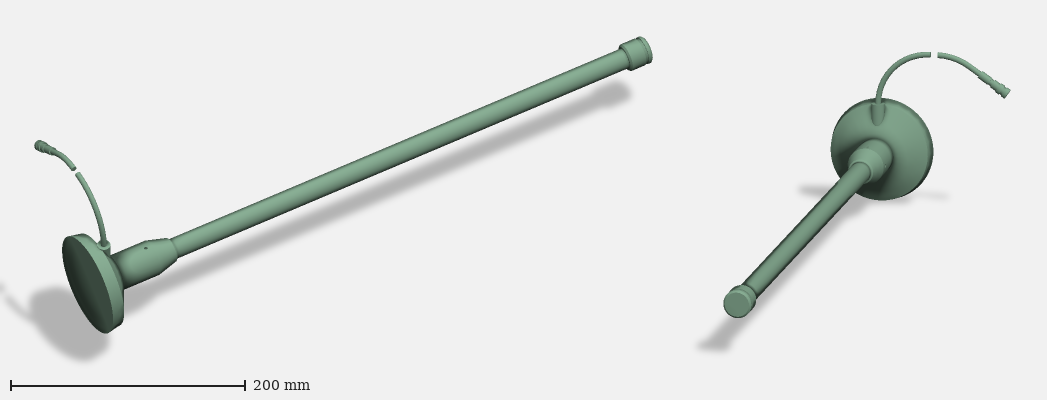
import cadquery as cq
import math

TOTAL_LENGTH = 545.0

BASE_DIAMETER = 89.5
DISC_TOP_RADIUS = 42.5
DISC_HEIGHT = 12.0
CONE_TOP = 26.5
SLEEVE_RADIUS = 16.0
SLEEVE_SHOULDER = 62.5
SLEEVE_TIP_RADIUS = 11.0
SLEEVE_TOP = 83.0
SLEEVE_CHAMFER = 1.5

MAST_DIAMETER = 18.0
MAST_RADIUS = MAST_DIAMETER / 2
SCREW_DIAMETER = 3.0
SCREW_Y = 56.5
SCREW_RECESS = 1.5
SCREW_ANGLES = (90, 180)

CAP_DIAMETER = 24.5
CAP_RADIUS = CAP_DIAMETER / 2
CAP_LENGTH = 22.0
CAP_LOWER_CHAMFER = 1.5
CAP_TOP_CHAMFER = 1.5
RIM_LENGTH = 4.5
GROOVE_WIDTH = 2.5
GROOVE_DEPTH = 0.8
CAP_SOCKET_DEPTH = 13.5

OUTLET_DIAMETER = 11.5
OUTLET_END = 43.5
CABLE_Y = 16.0
CABLE_DIAMETER = 4.95
NEAR_BEND_RADIUS = 46.0
CABLE_GAP = 6.5
FAR_BEND_RADIUS = 49.0
FAR_BEND_ANGLE = 34.0
FAR_STRAIGHT_LENGTH = 11.5

FAR_START_X = -NEAR_BEND_RADIUS - CABLE_GAP
FAR_START_Z = OUTLET_END + NEAR_BEND_RADIUS
SLOPE = math.radians(FAR_BEND_ANGLE)
AXIS_X = -math.cos(SLOPE)
AXIS_Z = -math.sin(SLOPE)
BEND_END_X = FAR_START_X - FAR_BEND_RADIUS * math.sin(SLOPE)
BEND_END_Z = FAR_START_Z - FAR_BEND_RADIUS * (1 - math.cos(SLOPE))

FERRULE_DIAMETER = 7.0
FERRULE_LENGTH = 10.5
NECK_DIAMETER = 6.0
NECK_LENGTH = 2.5
BODY_DIAMETER = 7.5
BODY_LENGTH = 6.0
NUT_DIAMETER = 9.0
NUT_FLANGE_LENGTH = 4.0
NUT_GROOVE_DIAMETER = 7.5
NUT_GROOVE_LENGTH = 2.0
NUT_BORE_DIAMETER = 4.5
NUT_BORE_DEPTH = 2.5
PIN_DIAMETER = 1.25


def mast_cylinder(radius, start, end):
    """Cylinder on the Y axis between two Y positions."""
    return cq.Workplane("XZ", origin=(0, start, 0)).circle(radius).extrude(start - end)


def screw_cylinder(angle, outer_radius):
    """Set-screw cylinder from the mast surface out to a radius, at an angle about Y."""
    screw = cq.Workplane("YZ", origin=(MAST_RADIUS, SCREW_Y, 0)).circle(SCREW_DIAMETER / 2)
    return screw.extrude(outer_radius - MAST_RADIUS).rotate((0, 0, 0), (0, 1, 0), -angle)


def make_base():
    """Turned base and sleeve with its cable outlet, mast socket and screw holes."""
    profile = [
        (0, 0),
        (BASE_DIAMETER / 2, 0),
        (DISC_TOP_RADIUS, DISC_HEIGHT),
        (SLEEVE_RADIUS, CONE_TOP),
        (SLEEVE_RADIUS, SLEEVE_SHOULDER),
        (SLEEVE_TIP_RADIUS, SLEEVE_TOP - SLEEVE_CHAMFER),
        (SLEEVE_TIP_RADIUS - SLEEVE_CHAMFER, SLEEVE_TOP),
        (0, SLEEVE_TOP),
    ]
    base = cq.Workplane("XY").polyline(profile).close().revolve(360, (0, 0), (0, 1))
    outlet = cq.Workplane("XY").center(0, CABLE_Y).circle(OUTLET_DIAMETER / 2).extrude(OUTLET_END)
    base = base.union(outlet)
    base = base.cut(mast_cylinder(MAST_RADIUS, CONE_TOP, SLEEVE_TOP))
    for angle in SCREW_ANGLES:
        base = base.cut(screw_cylinder(angle, SLEEVE_RADIUS + SCREW_DIAMETER))
    return base


def make_mast():
    """Plain rod seated in the sleeve and in the cap."""
    return mast_cylinder(MAST_RADIUS, CONE_TOP, TOTAL_LENGTH - CAP_LENGTH + CAP_SOCKET_DEPTH)


def make_set_screw(angle):
    """Set screw that bears on the mast and ends below the sleeve surface."""
    return screw_cylinder(angle, SLEEVE_RADIUS - SCREW_RECESS)


def make_cap():
    """Chamfered end cap with a groove below its rim and a socket for the mast."""
    bottom = TOTAL_LENGTH - CAP_LENGTH
    cap = mast_cylinder(CAP_RADIUS, bottom, TOTAL_LENGTH)
    cap = cap.faces("<Y").chamfer(CAP_LOWER_CHAMFER)
    cap = cap.faces(">Y").chamfer(CAP_TOP_CHAMFER)
    groove_top = TOTAL_LENGTH - RIM_LENGTH
    groove_bottom = groove_top - GROOVE_WIDTH
    groove = mast_cylinder(CAP_RADIUS, groove_bottom, groove_top)
    groove = groove.cut(mast_cylinder(CAP_RADIUS - GROOVE_DEPTH, groove_bottom, groove_top))
    socket = mast_cylinder(MAST_RADIUS, bottom, bottom + CAP_SOCKET_DEPTH)
    return cap.cut(groove).cut(socket)


def make_near_cable():
    """Quarter bend from the outlet, up and round towards -X."""
    start = cq.Workplane("XY", origin=(0, CABLE_Y, OUTLET_END)).circle(CABLE_DIAMETER / 2)
    return start.revolve(90, (-NEAR_BEND_RADIUS, 0), (-NEAR_BEND_RADIUS, -1))


def sloped_plane(distance):
    """Plane across the far cable's axis, a distance beyond the end of its bend."""
    origin = (BEND_END_X + distance * AXIS_X, CABLE_Y, BEND_END_Z + distance * AXIS_Z)
    return cq.Workplane(cq.Plane(origin=origin, xDir=(0, 1, 0), normal=(AXIS_X, 0, AXIS_Z)))


def make_far_cable():
    """Bend down from level towards -X, then a straight end."""
    start = cq.Workplane("YZ", origin=(FAR_START_X, CABLE_Y, FAR_START_Z)).circle(CABLE_DIAMETER / 2)
    bend = start.revolve(FAR_BEND_ANGLE, (0, -FAR_BEND_RADIUS), (-1, -FAR_BEND_RADIUS))
    straight = sloped_plane(0).circle(CABLE_DIAMETER / 2).extrude(FAR_STRAIGHT_LENGTH)
    return bend.union(straight)


def make_connector():
    """Stepped round connector on the cable's end face, open at its free end round a centre pin."""
    sections = [
        (FERRULE_DIAMETER, FERRULE_LENGTH),
        (NECK_DIAMETER, NECK_LENGTH),
        (BODY_DIAMETER, BODY_LENGTH),
        (NUT_DIAMETER, NUT_FLANGE_LENGTH),
        (NUT_GROOVE_DIAMETER, NUT_GROOVE_LENGTH),
        (NUT_DIAMETER, NUT_FLANGE_LENGTH),
    ]
    position = FAR_STRAIGHT_LENGTH
    connector = cq.Workplane()
    for diameter, length in sections:
        connector = connector.add(sloped_plane(position).circle(diameter / 2).extrude(length))
        position += length
    connector = connector.combine()
    bore = sloped_plane(position - NUT_BORE_DEPTH).circle(NUT_BORE_DIAMETER / 2).circle(PIN_DIAMETER / 2)
    return connector.cut(bore.extrude(NUT_BORE_DEPTH))


base = make_base()
mast = make_mast()
cap = make_cap()
near_cable = make_near_cable()
far_cable = make_far_cable()
connector = make_connector()
set_screws = [make_set_screw(angle) for angle in SCREW_ANGLES]

result = cq.Compound.makeCompound([
    base.val(),
    mast.val(),
    cap.val(),
    near_cable.val(),
    far_cable.val(),
    connector.val(),
    *[screw.val() for screw in set_screws],
])